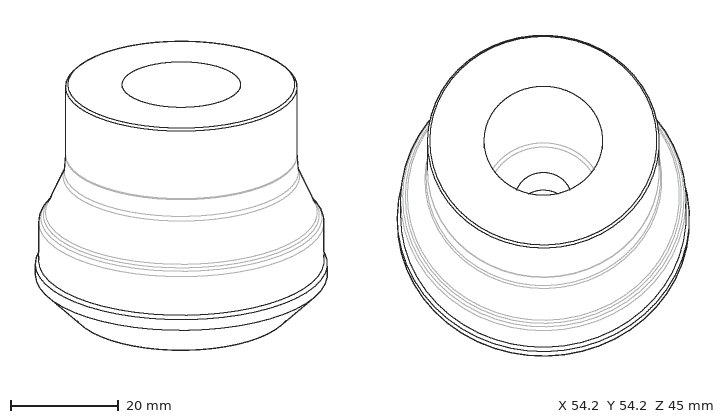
import cadquery as cq
import math

total_height = 45.0
joint_height = 9.65

hole_radius = 10.5 / 2
bore_radius = 22.0 / 2
bore_depth = 27.1
bore_floor_fillet = 0.6

neck_radius = 43.0 / 2
body_radius = 53.0 / 2
top_chamfer = 0.45
neck_base_height = 30.9
flare_radius = 21.8
flare_height = 27.1
shoulder_height = 17.95
shoulder_width = 1.11
neck_blend = 2.6
cone_blend = 1.85
shoulder_fillet = 1.3

nose_radius = 54.25 / 2
nose_top_chamfer = nose_radius - body_radius
nose_cone_height = 6.9
nose_bottom_radius = nose_radius - nose_cone_height


def rounded_outline(corners):
    """Closed outline of (radius, height, rounding) corners; each rounding is a tangent arc."""
    vectors = [cq.Vector(radius, height) for radius, height, _ in corners]
    outline = cq.Workplane("XZ").moveTo(vectors[0].x, vectors[0].y)
    for index in range(1, len(corners)):
        corner = vectors[index]
        rounding = corners[index][2]
        if rounding == 0:
            outline = outline.lineTo(corner.x, corner.y)
            continue
        to_previous = (vectors[index - 1] - corner).normalized()
        to_next = (vectors[(index + 1) % len(corners)] - corner).normalized()
        half_angle = to_previous.getAngle(to_next) / 2
        tangent_length = rounding / math.tan(half_angle)
        apex_distance = rounding / math.sin(half_angle) - rounding
        start = corner + to_previous * tangent_length
        middle = corner + (to_previous + to_next).normalized() * apex_distance
        end = corner + to_next * tangent_length
        outline = outline.lineTo(start.x, start.y)
        outline = outline.threePointArc((middle.x, middle.y), (end.x, end.y))
    return outline.close()


def revolve_outline(corners):
    """Turn a rounded outline about the Z axis."""
    return rounded_outline(corners).revolve(360, (0, 0, 0), (0, 1, 0))


def make_housing():
    bore_floor = total_height - bore_depth
    cone_base_radius = body_radius - shoulder_width
    cone_base_height = shoulder_height + shoulder_width
    return revolve_outline([
        (hole_radius, joint_height, 0),
        (body_radius, joint_height, 0),
        (body_radius, shoulder_height, shoulder_fillet),
        (cone_base_radius, cone_base_height, cone_blend),
        (flare_radius, flare_height, neck_blend),
        (neck_radius, neck_base_height, neck_blend),
        (neck_radius, total_height - top_chamfer, 0),
        (neck_radius - top_chamfer, total_height, 0),
        (bore_radius, total_height, 0),
        (bore_radius, bore_floor, bore_floor_fillet),
        (hole_radius, bore_floor, 0),
    ])


def make_nose():
    return revolve_outline([
        (hole_radius, 0, 0),
        (nose_bottom_radius, 0, 0),
        (nose_radius, nose_cone_height, 0),
        (nose_radius, joint_height - nose_top_chamfer, 0),
        (body_radius, joint_height, 0),
        (hole_radius, joint_height, 0),
    ])


housing = make_housing()
nose = make_nose()

result = cq.Compound.makeCompound([housing.val(), nose.val()])